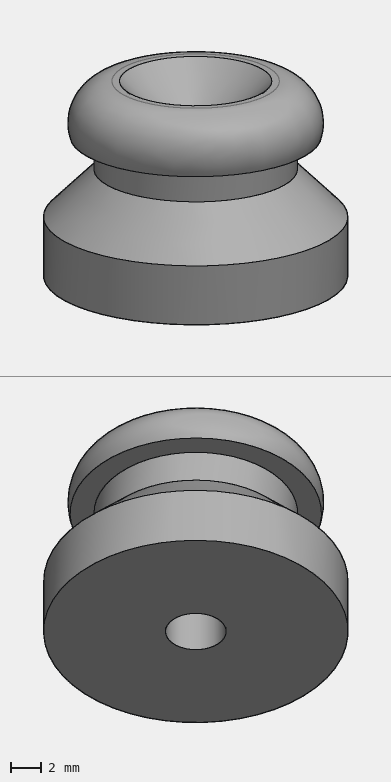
import cadquery as cq
import math

base_radius = 10.0
base_height = 4.1
neck_radius = 13.37 / 2
neck_height = 2.28
total_height = 13.5
head_flat_radius = 5.5
head_round_radius = 2.9
hole_radius = 3.98 / 2
countersink_radius = 5.0

shoulder_top = base_height + (base_radius - neck_radius)
head_bottom = shoulder_top + neck_height
countersink_bottom = total_height - (countersink_radius - hole_radius)

round_center_z = total_height - head_round_radius


def head_radius_at(z):
    """Radius of the rounded head at height z."""
    return head_flat_radius + math.sqrt(head_round_radius**2 - (z - round_center_z) ** 2)


arc_middle_z = (head_bottom + total_height) / 2

half_section = (
    cq.Workplane("XZ")
    .moveTo(hole_radius, 0)
    .lineTo(base_radius, 0)
    .lineTo(base_radius, base_height)
    .lineTo(neck_radius, shoulder_top)
    .lineTo(neck_radius, head_bottom)
    .lineTo(head_radius_at(head_bottom), head_bottom)
    .threePointArc((head_radius_at(arc_middle_z), arc_middle_z), (head_flat_radius, total_height))
    .lineTo(countersink_radius, total_height)
    .lineTo(hole_radius, countersink_bottom)
    .close()
)

result = half_section.revolve(360, (0, 0, 0), (0, 1, 0))